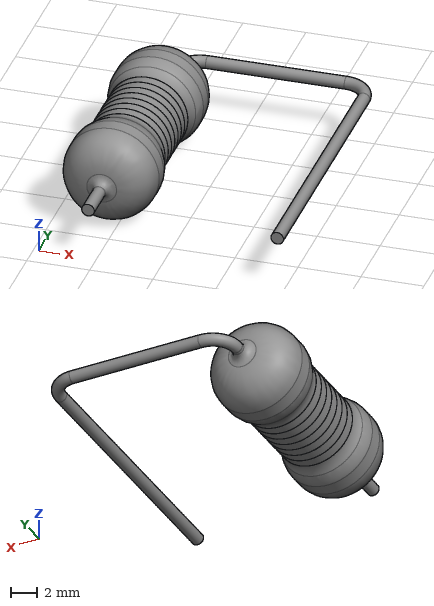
import cadquery as cq

total_length = 25.1
lead_diameter = 1.0
lead_spacing = 15.0
bend_radius = 2.0

cap_diameter = 7.5
waist_diameter = 6.38
band_diameter = 6.4
body_length = 18.07
body_start = 3.56
end_rounding = 2.65
cap_straight_length = 1.18
band_count = 4
band_width = 0.85
lead_fillet = 0.7
collar_search_margin = 0.03

lead_radius = lead_diameter / 2
cap_radius = cap_diameter / 2
waist_radius = waist_diameter / 2
band_radius = band_diameter / 2
body_end = body_start + body_length
body_middle = body_start + body_length / 2
bend_start = total_length - lead_radius - bend_radius

waist_length = (2 * band_count - 1) * band_width
waist_start = body_middle - waist_length / 2
waist_end = body_middle + waist_length / 2
cap_straight_start = body_start + end_rounding
cap_straight_end = cap_straight_start + cap_straight_length

neck_length = waist_start - cap_straight_end
neck_middle_radius = (cap_radius + waist_radius) / 2


def mirrored(y):
    return 2 * body_middle - y


def make_body():
    flat_radius = cap_radius - end_rounding
    neck_middle = cap_straight_end + neck_length / 2
    profile = (
        cq.Workplane("XY")
        .moveTo(0, body_start)
        .lineTo(flat_radius, body_start)
        .tangentArcPoint((cap_radius, cap_straight_start), relative=False)
        .lineTo(cap_radius, cap_straight_end)
        .tangentArcPoint((neck_middle_radius, neck_middle), relative=False)
        .tangentArcPoint((waist_radius, waist_start), relative=False)
        .lineTo(waist_radius, waist_end)
        .tangentArcPoint((neck_middle_radius, mirrored(neck_middle)), relative=False)
        .tangentArcPoint((cap_radius, mirrored(cap_straight_end)), relative=False)
        .lineTo(cap_radius, mirrored(cap_straight_start))
        .tangentArcPoint((flat_radius, body_end), relative=False)
        .lineTo(0, body_end)
        .close()
    )
    return profile.revolve(360, (0, 0, 0), (0, 1, 0))


def make_band(start):
    profile = cq.Workplane("XY").moveTo(0, start).rect(band_radius, band_width, centered=False)
    return profile.revolve(360, (0, 0, 0), (0, 1, 0))


def make_lead():
    path = (
        cq.Workplane("XY")
        .lineTo(0, bend_start)
        .tangentArcPoint((bend_radius, bend_start + bend_radius), relative=False)
        .lineTo(lead_spacing - bend_radius, bend_start + bend_radius)
        .tangentArcPoint((lead_spacing, bend_start), relative=False)
        .lineTo(lead_spacing, 0)
    )
    return cq.Workplane("XZ").circle(lead_radius).sweep(path)


collar_edges = cq.selectors.BoxSelector(
    (-lead_diameter, body_start - collar_search_margin, -lead_diameter),
    (lead_diameter, body_start + collar_search_margin, lead_diameter),
) + cq.selectors.BoxSelector(
    (-lead_diameter, body_end - collar_search_margin, -lead_diameter),
    (lead_diameter, body_end + collar_search_margin, lead_diameter),
)

result = make_body().union(make_lead())
result = result.edges(collar_edges).edges(cq.selectors.RadiusNthSelector(0)).fillet(lead_fillet)
for band_index in range(band_count):
    result = result.union(make_band(waist_start + 2 * band_index * band_width))